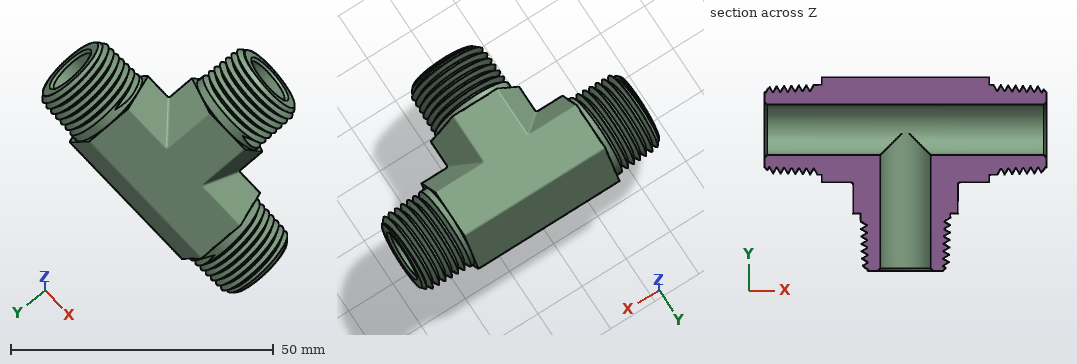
import cadquery as cq
import math

across_flats = 17.5
body_reach = 16.0
edge_round = 0.5

end_reach = 26.9
collar_radius = 8.6
end_face_radius = 7.1
taper = 1 / 32

thread_turns = 8
thread_span = 11.3
pitch = thread_span / thread_turns
groove_angle = 60
crest_width = 0.05
groove_start = 17.3
start_angle = -40
mouth_overlap = 0.05

bore_radius = 4.8
bore_chamfer = 0.55

ARM_PLANE = cq.Plane(origin=(0, 0, 0), xDir=(0, 1, 0), normal=(1, 0, 0))
ARM_TURNS = (0, 180, -90)


def radius_at(distance):
    """Crest radius of a tapered end at a distance from the tee centre."""
    return collar_radius - taper * (distance - body_reach)


def hex_bar(start, length):
    """Hexagonal bar along X with flats facing up and down."""
    corner_diameter = across_flats / math.cos(math.pi / 6)
    profile = cq.Workplane("YZ", origin=(start, 0, 0)).polygon(6, corner_diameter)
    return profile.extrude(length)


def hex_tee():
    """Two mitred hexagonal bars, rounded everywhere except at the end faces."""
    run = hex_bar(-body_reach, 2 * body_reach)
    branch = hex_bar(0, body_reach).rotate((0, 0, 0), (0, 0, 1), -90)
    tee = run.union(branch).clean()
    return tee.edges("not(<X or >X or <Y)").fillet(edge_round)


def end_blank():
    """Collar and tapered end with a 45 degree lead-in, before threading."""
    lead_in = (radius_at(end_reach) - end_face_radius) / (1 - taper)
    shoulder = end_reach - lead_in
    return (
        cq.Workplane("XZ")
        .lineTo(-collar_radius, 0)
        .lineTo(-collar_radius, body_reach)
        .lineTo(-radius_at(shoulder), shoulder)
        .lineTo(-end_face_radius, end_reach)
        .lineTo(0, end_reach)
        .close()
        .revolve(360, (0, 0, 0), (0, 1, 0))
    )


def cut_thread(blank):
    """Cut a V groove along a tapered helix, with a straight tangential run-out."""
    flank_slope = math.tan(math.radians(groove_angle / 2))
    start_radius = radius_at(groove_start)
    root_radius = start_radius - (pitch - crest_width) / 2 / flank_slope
    mouth_radius = start_radius + mouth_overlap
    half_mouth = (mouth_radius - root_radius) * flank_slope
    section = cq.Workplane("XZ").polyline([
        (mouth_radius, groove_start - half_mouth),
        (root_radius, groove_start),
        (mouth_radius, groove_start + half_mouth),
    ]).close()

    taper_angle = math.degrees(math.atan(taper))
    helix = cq.Wire.makeHelix(pitch, thread_span, start_radius, angle=-taper_angle)
    helix = helix.translate(cq.Vector(0, 0, groove_start))
    groove = section.sweep(cq.Workplane(helix), isFrenet=True)

    runout_length = math.sqrt(mouth_radius**2 - root_radius**2)
    runout = section.toPending().extrude(runout_length)

    for cutter in (groove, runout):
        blank = blank.cut(cutter.rotate((0, 0, 0), (0, 0, 1), start_angle))
    return blank


def bore_cutter():
    """Bore from the tee centre out through one end, with a chamfered mouth."""
    mouth_radius = bore_radius + bore_chamfer
    return (
        cq.Workplane("XZ")
        .lineTo(bore_radius, 0)
        .lineTo(bore_radius, end_reach - bore_chamfer)
        .lineTo(mouth_radius, end_reach)
        .lineTo(0, end_reach)
        .close()
        .revolve(360, (0, 0, 0), (0, 1, 0))
    )


def on_arm(shape, turn):
    """Lay a shape built along Z onto the +X arm, then turn it about Z."""
    placed = shape.val().moved(cq.Location(ARM_PLANE))
    return cq.Workplane(placed).rotate((0, 0, 0), (0, 0, 1), turn)


threaded_end = cut_thread(end_blank())
bore = bore_cutter()

result = hex_tee()
for turn in ARM_TURNS:
    result = result.union(on_arm(threaded_end, turn))
for turn in ARM_TURNS:
    result = result.cut(on_arm(bore, turn))